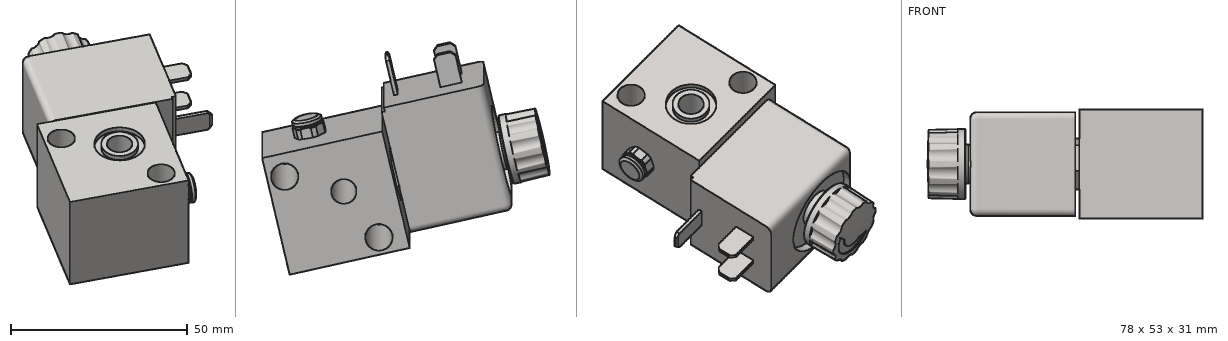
import cadquery as cq
import math

overall_length = 78.0
overall_depth = 53.0

block_side = 34.95
block_height = 31.0
block_y_offset = -0.7
block_front_y = block_y_offset - block_side / 2
block_back_y = block_y_offset + block_side / 2
mounting_hole_diameter = 7.7
mounting_holes = [(7.8, -13.2), (29.9, 10.05)]
port_x, port_y = 14.5, 2.1
port_diameter = 7.2
seal_groove_inner_diameter = 10.45
seal_groove_outer_diameter = 14.35
seal_groove_depth = 1.5

coil_gap = 1.1
coil_length = 29.9
coil_width = 29.5
coil_front_y = -14.3
coil_back_y = 23.25
coil_fillet = 1.95
coil_left_x = -coil_gap - coil_length
coil_step_x, coil_step_y = 0.85, 1.2
coil_recess_diameter = 26.05
coil_recess_depth = 2.35

tube_hex_across_flats = 13.0
tube_hex_angle = 15

neck_diameter = 11.15
neck_shoulder_x = -31.4
neck_root_diameter = 10.85
knob_front_x = block_side - overall_length
knob_back_x = -32.2
knob_radius = 10.0
knob_front_radius = 9.75
knob_dome_height = 0.3
knob_collar_width = 1.5
knob_collar_chamfer = 0.2
flute_count = 12
flute_end_x = -34.4
flute_depth = 0.9
flute_radius = 2.35
flute_lip_fillet = 0.2
flute_middle_tolerance = 0.2
mark_inner_radius = 4.7
mark_outer_radius = 7.3
mark_depth = 0.2
mark_inner_angles = (170, 295)
mark_outer_angles = (152, 317)

terminal_thickness = 1.1
terminal_width = 6.25
terminal_chamfer = 1.4
terminal_tip_thickness = 0.5
terminal_z = 0.4
contact_pitch = 10.6
contact_x = -21.5
contact_tip_y = 32.75
contact_bevel_length = 0.2
earth_x = -5.45
earth_tip_y = block_front_y + overall_depth
earth_bevel_length = 0.8

override_x = 20.9
override_hex_across_flats = 8.6
override_corner_diameter = 9.1
override_hex_height = 3.05
override_hex_chamfer = 0.2
override_hex_angle = -10
override_neck_diameter = 5.8
override_neck_height = 0.5
override_cap_diameter = 8.6
override_cap_height = 1.7
override_cap_top_diameter = 6.8
override_cap_bevel_height = 0.55
override_cap_bottom_chamfer = 0.2

overlap = 1.55


def x_plane(x):
    """Plane facing +X with local axes Y and Z."""
    return cq.Workplane("YZ", origin=(x, 0, 0))


def hexagon_circle(across_flats):
    """Diameter of the circle through the corners of a hexagon."""
    return across_flats / math.cos(math.radians(30))


def polar(radius, angle):
    return (radius * math.cos(math.radians(angle)), radius * math.sin(math.radians(angle)))


def make_block():
    block = cq.Workplane("XY").box(block_side, block_side, block_height)
    block = block.translate((block_side / 2, block_y_offset, 0))
    top_center = (0, 0, block_height / 2)
    holes = (
        cq.Workplane("XY", origin=top_center)
        .pushPoints(mounting_holes)
        .circle(mounting_hole_diameter / 2)
        .extrude(-block_height)
    )
    port = (
        cq.Workplane("XY", origin=top_center)
        .center(port_x, port_y)
        .circle(port_diameter / 2)
        .extrude(-block_height)
    )
    groove = (
        cq.Workplane("XY", origin=top_center)
        .center(port_x, port_y)
        .circle(seal_groove_outer_diameter / 2)
        .circle(seal_groove_inner_diameter / 2)
        .extrude(-seal_groove_depth)
    )
    return block.cut(holes).cut(port).cut(groove)


def make_coil():
    outline = [
        (coil_left_x, coil_front_y),
        (-coil_gap, coil_front_y),
        (-coil_gap, coil_back_y - coil_step_y),
        (-coil_gap - coil_step_x, coil_back_y - coil_step_y),
        (-coil_gap - coil_step_x, coil_back_y),
        (coil_left_x, coil_back_y),
    ]
    coil = (
        cq.Workplane("XY", origin=(0, 0, -coil_width / 2))
        .polyline(outline)
        .close()
        .extrude(coil_width)
    )
    left_edges = coil.faces("<X").edges("|Y or <Y")
    front_edges = coil.faces("<Y").edges("|X")
    coil = left_edges.add(front_edges).fillet(coil_fillet)
    recess = x_plane(coil_left_x).circle(coil_recess_diameter / 2).extrude(coil_recess_depth)
    return coil.cut(recess)


def make_tube():
    tube_hex = (
        x_plane(-coil_gap - overlap)
        .transformed(rotate=(0, 0, tube_hex_angle))
        .polygon(6, hexagon_circle(tube_hex_across_flats))
        .extrude(coil_gap + 2 * overlap)
    )
    neck_start_x = knob_back_x - overlap
    neck_end_x = coil_left_x + coil_recess_depth + overlap
    neck = x_plane(neck_start_x).circle(neck_diameter / 2).extrude(neck_shoulder_x - neck_start_x)
    neck_root = x_plane(neck_start_x).circle(neck_root_diameter / 2).extrude(neck_end_x - neck_start_x)
    return tube_hex.union(neck).union(neck_root)


def make_knob():
    rim_x = knob_front_x + knob_dome_height
    dome_radius = (knob_front_radius**2 + knob_dome_height**2) / (2 * knob_dome_height)
    mid_radius = knob_front_radius / 2
    mid_x = knob_front_x + dome_radius - math.sqrt(dome_radius**2 - mid_radius**2)
    knob = (
        cq.Workplane("XY")
        .moveTo(knob_front_x, 0)
        .threePointArc((mid_x, mid_radius), (rim_x, knob_front_radius))
        .lineTo(knob_back_x - knob_collar_width, knob_radius)
        .lineTo(knob_back_x - knob_collar_chamfer, knob_radius)
        .lineTo(knob_back_x, knob_radius - knob_collar_chamfer)
        .lineTo(knob_back_x, 0)
        .close()
        .revolve(360, (0, 0, 0), (1, 0, 0))
    )
    flutes = (
        x_plane(knob_front_x)
        .polarArray(knob_radius - flute_depth + flute_radius, 180 / flute_count, 360, flute_count)
        .circle(flute_radius)
        .extrude(flute_end_x - knob_front_x)
    )
    knob = knob.cut(flutes)
    middle_x = (rim_x + flute_end_x) / 2
    lips = knob.edges(
        cq.selectors.BoxSelector(
            (middle_x - flute_middle_tolerance, -knob_radius, -knob_radius),
            (middle_x + flute_middle_tolerance, knob_radius, knob_radius),
        )
    )
    return lips.fillet(flute_lip_fillet).cut(make_turn_mark())


def make_turn_mark():
    """Shallow curved mark with slanted ends in the knob face."""
    inner_start, inner_end = mark_inner_angles
    outer_start, outer_end = mark_outer_angles
    inner_middle = (inner_start + inner_end) / 2
    outer_middle = (outer_start + outer_end) / 2
    facing_knob = cq.Plane(origin=(knob_front_x, 0, 0), xDir=(0, -1, 0), normal=(-1, 0, 0))
    return (
        cq.Workplane(facing_knob)
        .moveTo(*polar(mark_inner_radius, inner_start))
        .threePointArc(polar(mark_inner_radius, inner_middle), polar(mark_inner_radius, inner_end))
        .lineTo(*polar(mark_outer_radius, outer_end))
        .threePointArc(polar(mark_outer_radius, outer_middle), polar(mark_outer_radius, outer_start))
        .close()
        .extrude(-mark_depth - knob_dome_height)
    )


def make_terminal(tip_y, bevel_length):
    """Blade in the XY plane with chamfered corners and a bevelled tip, centred on X = 0, Z = 0."""
    root_y = coil_back_y - overlap
    half_width = terminal_width / 2
    half_thickness = terminal_thickness / 2
    half_tip = terminal_tip_thickness / 2
    face = (
        cq.Workplane("XY", origin=(0, 0, -half_thickness))
        .moveTo(-half_width, root_y)
        .lineTo(half_width, root_y)
        .lineTo(half_width, tip_y - terminal_chamfer)
        .lineTo(half_width - terminal_chamfer, tip_y)
        .lineTo(terminal_chamfer - half_width, tip_y)
        .lineTo(-half_width, tip_y - terminal_chamfer)
        .close()
        .extrude(terminal_thickness)
    )
    bevelled_side = (
        cq.Workplane("YZ", origin=(-half_width, 0, 0))
        .moveTo(root_y, -half_thickness)
        .lineTo(tip_y - bevel_length, -half_thickness)
        .lineTo(tip_y, -half_tip)
        .lineTo(tip_y, half_tip)
        .lineTo(tip_y - bevel_length, half_thickness)
        .lineTo(root_y, half_thickness)
        .close()
        .extrude(terminal_width)
    )
    return face.intersect(bevelled_side)


def make_terminals():
    contact = make_terminal(contact_tip_y, contact_bevel_length)
    earth = make_terminal(earth_tip_y, earth_bevel_length).rotate((0, 0, 0), (0, 1, 0), 90)
    terminals = earth.translate((earth_x, 0, terminal_z))
    for side in (-1, 1):
        contact_z = terminal_z + side * contact_pitch / 2
        terminals = terminals.union(contact.translate((contact_x, 0, contact_z)))
    return terminals


def make_override():
    """Hexagon with turned-off corners carrying a round cap."""

    def y_plane(y):
        return cq.Workplane(cq.Plane(origin=(override_x, y, 0), xDir=(1, 0, 0), normal=(0, 1, 0)))

    root_y = block_back_y - overlap
    hex_length = override_hex_height + overlap
    hexagon = (
        y_plane(root_y)
        .transformed(rotate=(0, 0, override_hex_angle))
        .polygon(6, hexagon_circle(override_hex_across_flats))
        .extrude(hex_length)
    )
    turned = y_plane(root_y).circle(override_corner_diameter / 2).extrude(hex_length)
    turned = turned.faces(">Y").chamfer(override_hex_chamfer)
    neck_y = block_back_y + override_hex_height
    neck = y_plane(neck_y).circle(override_neck_diameter / 2).extrude(override_neck_height)
    cap_bevel_width = (override_cap_diameter - override_cap_top_diameter) / 2
    cap = (
        y_plane(neck_y + override_neck_height)
        .circle(override_cap_diameter / 2)
        .extrude(override_cap_height)
        .faces(">Y")
        .chamfer(override_cap_bevel_height, cap_bevel_width)
        .faces("<Y")
        .chamfer(override_cap_bottom_chamfer)
    )
    return hexagon.intersect(turned).union(neck).union(cap)


result = (
    make_block()
    .union(make_tube())
    .union(make_coil())
    .union(make_knob())
    .union(make_terminals())
    .union(make_override())
)